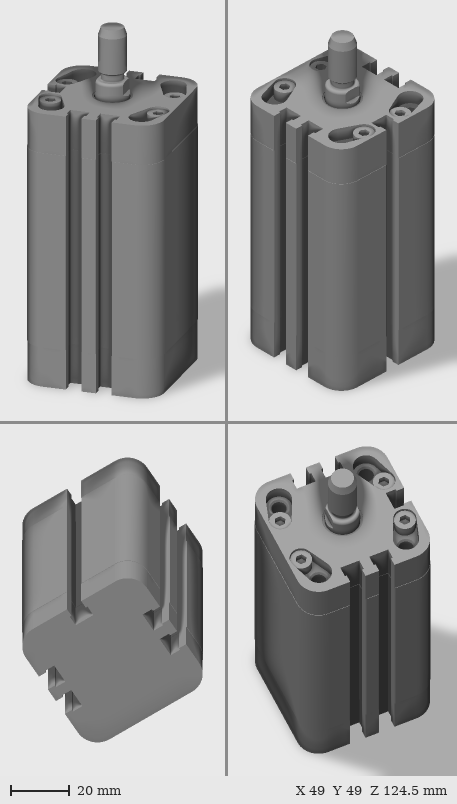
import cadquery as cq
import math

width = 49.0
total_height = 124.5
body_height = 99.4
cap_height = 14.3
cap_inset = 0.1
corner_radius = 8.0
tube_top = body_height - cap_height

slot_neck_width = 5.7
slot_wide_width = 6.8
slot_lip_chamfer = 0.2
slot_neck_depth = 3.0
slot_depth = 6.6
slot_pitch = 10.8

rod_diameter = 12.0
thread_diameter = 10.0
tip_diameter = 7.8
tip_length = 2.9
thread_length = 16.3
thread_end = total_height - thread_length
thread_end_chamfer = 0.5
neck_diameter = 7.8
neck_fillet = 0.4
neck_length = 2.7
shoulder_top = thread_end - neck_length
shoulder_fillet = 1.0
flat_distance = 10.0
flat_clearance = 1.9
flat_bottom = body_height + flat_clearance

opening_diameter = 14.0
opening_depth = 0.2
opening_chamfer = 0.1
clearance_diameter = 12.6
clearance_depth = 1.2

hole_offset = 16.3
hole_diameter = 5.2
hole_chamfer = 0.6
pocket_diameter = 9.0
screw_x = 19.4
screw_y = 8.6
screw_pocket_diameter = 7.8
screw_diameter = 7.5
pocket_depth = 5.0
pocket_floor = body_height - pocket_depth
screw_recess = 0.9
socket_corner_diameter = 4.0
socket_depth = 2.5


def slot_cutter(height, inset):
    """T-slot opening through the +Y side; an inset enlarges its wide part."""
    half_neck = slot_neck_width / 2
    half_wide = slot_wide_width / 2 + inset
    outer = width / 2
    step = outer - slot_neck_depth
    floor = outer - slot_depth - inset
    return (
        cq.Workplane("XY")
        .moveTo(-half_neck, outer)
        .lineTo(-half_neck, step)
        .lineTo(-half_wide, step)
        .lineTo(-half_wide, floor)
        .lineTo(half_wide, floor)
        .lineTo(half_wide, step)
        .lineTo(half_neck, step)
        .lineTo(half_neck, outer)
        .close()
        .extrude(height)
    )


def lip_cutter(height):
    """Trapezoidal prism that chamfers both lips of a slot on the +Y side."""
    half_neck = slot_neck_width / 2
    outer = width / 2
    return (
        cq.Workplane("XY")
        .moveTo(-half_neck - slot_lip_chamfer, outer)
        .lineTo(-half_neck, outer - slot_lip_chamfer)
        .lineTo(half_neck, outer - slot_lip_chamfer)
        .lineTo(half_neck + slot_lip_chamfer, outer)
        .close()
        .extrude(height)
    )


def cut_at_slots(block, cutter):
    """Apply a +Y cutter at both +Y slots, both -Y slots and the single -X slot."""
    for x in (-slot_pitch / 2, slot_pitch / 2):
        placed = cutter.translate((x, 0, 0))
        block = block.cut(placed).cut(placed.mirror("XZ"))
    return block.cut(cutter.rotate((0, 0, 0), (0, 0, 1), 90))


def profile_block(height, inset=0.0):
    """Rounded square length of the body with its five T-slots, standing on Z = 0."""
    side = width - 2 * inset
    block = cq.Workplane("XY").rect(side, side).extrude(height)
    block = block.edges("|Z").fillet(corner_radius - inset)
    return cut_at_slots(block, slot_cutter(height, inset))


def make_cap_blank(bottom):
    """Plain end cap, its outline set back slightly from the tube."""
    return profile_block(cap_height, cap_inset).translate((0, 0, bottom))


def make_tube():
    """Middle profile between the caps, with chamfered slot lips."""
    length = tube_top - cap_height
    tube = cut_at_slots(profile_block(length), lip_cutter(length))
    return tube.translate((0, 0, cap_height))


def tapered_slot(x1, y1, d1, x2, y2, d2, top, depth):
    """Pocket solid around two circles joined by their outer tangents."""
    r1 = d1 / 2
    r2 = d2 / 2
    heading = math.atan2(y2 - y1, x2 - x1)
    spread = math.acos((r1 - r2) / math.hypot(x2 - x1, y2 - y1))

    def on_circle(x, y, r, angle):
        return (x + r * math.cos(angle), y + r * math.sin(angle))

    left = heading + spread
    right = heading - spread
    return (
        cq.Workplane("XY", origin=(0, 0, top - depth))
        .moveTo(*on_circle(x1, y1, r1, left))
        .threePointArc(on_circle(x1, y1, r1, heading + math.pi), on_circle(x1, y1, r1, right))
        .lineTo(*on_circle(x2, y2, r2, right))
        .threePointArc(on_circle(x2, y2, r2, heading), on_circle(x2, y2, r2, left))
        .close()
        .extrude(depth)
    )


def corner_hole(x, y):
    """Hole from the pocket floor to the tube, with its countersink."""
    radius = hole_diameter / 2
    hole = (
        cq.Workplane("XY", origin=(x, y, tube_top))
        .circle(radius)
        .extrude(pocket_floor - tube_top)
    )
    base = cq.Vector(x, y, pocket_floor - hole_chamfer)
    countersink = cq.Solid.makeCone(radius, radius + hole_chamfer, hole_chamfer, base)
    return hole.union(cq.Workplane("XY").add(countersink))


def screw_head(x, y):
    """Socket screw head standing on the pocket floor, modelled as part of the cap."""
    return (
        cq.Workplane("XY", origin=(x, y, pocket_floor))
        .circle(screw_diameter / 2)
        .extrude(pocket_depth - screw_recess)
        .faces(">Z")
        .workplane(origin=(x, y, 0))
        .polygon(6, socket_corner_diameter)
        .cutBlind(-socket_depth)
    )


def make_front_cap():
    """Cap with four corner pockets, each holding a hole and a screw head, and the rod bore."""
    cap = make_cap_blank(tube_top)
    for sx in (-1, 1):
        for sy in (-1, 1):
            hole_at = (sx * hole_offset, sy * hole_offset)
            screw_at = (sx * screw_x, sy * screw_y)
            pocket = tapered_slot(
                *hole_at, pocket_diameter, *screw_at, screw_pocket_diameter, body_height, pocket_depth
            )
            cap = cap.cut(pocket).cut(corner_hole(*hole_at)).union(screw_head(*screw_at))
    return cut_rod_opening(cap)


def cut_rod_opening(cap):
    """Stepped rod bore: a shallow recess, a clearance ring, then a close fit to the cap's inner face."""
    return (
        cap.faces(">Z")
        .workplane(origin=(0, 0, 0))
        .hole(rod_diameter, cap_height)
        .cut(top_disc(clearance_diameter, clearance_depth))
        .cut(top_disc(opening_diameter, opening_depth).faces("<Z").chamfer(opening_chamfer))
    )


def top_disc(diameter, depth):
    """Disc on the rod axis reaching down from the front face of the cap."""
    return cq.Workplane("XY", origin=(0, 0, body_height - depth)).circle(diameter / 2).extrude(depth)


def make_rod():
    """Stepped piston rod from the tube face up to its chamfered tip."""
    rod_r = rod_diameter / 2
    neck_r = neck_diameter / 2
    thread_r = thread_diameter / 2
    rod = (
        cq.Workplane("XZ")
        .moveTo(0, tube_top)
        .lineTo(rod_r, tube_top)
        .lineTo(rod_r, shoulder_top - shoulder_fillet)
        .radiusArc((rod_r - shoulder_fillet, shoulder_top), -shoulder_fillet)
        .lineTo(neck_r + neck_fillet, shoulder_top)
        .radiusArc((neck_r, shoulder_top + neck_fillet), neck_fillet)
        .lineTo(neck_r, thread_end - neck_fillet)
        .radiusArc((neck_r + neck_fillet, thread_end), neck_fillet)
        .lineTo(thread_r - thread_end_chamfer, thread_end)
        .lineTo(thread_r, thread_end + thread_end_chamfer)
        .lineTo(thread_r, total_height - tip_length)
        .lineTo(tip_diameter / 2, total_height)
        .lineTo(0, total_height)
        .close()
        .revolve(360, (0, 0, 0), (0, 1, 0))
    )
    flat_x = flat_distance / 2
    runout = rod_diameter / 2 - flat_x
    flat = (
        cq.Workplane("XZ")
        .moveTo(flat_x, flat_bottom)
        .lineTo(flat_x + runout, flat_bottom - runout)
        .lineTo(flat_x + runout, shoulder_top)
        .lineTo(flat_x, shoulder_top)
        .close()
        .extrude(rod_diameter / 2, both=True)
    )
    return rod.cut(flat).cut(flat.mirror("YZ"))


rear_cap = make_cap_blank(0).solids()
tube = make_tube().solids()
front_cap = make_front_cap().solids()
rod = make_rod().solids()

result = cq.Compound.makeCompound([rear_cap.val(), tube.val(), front_cap.val(), rod.val()])